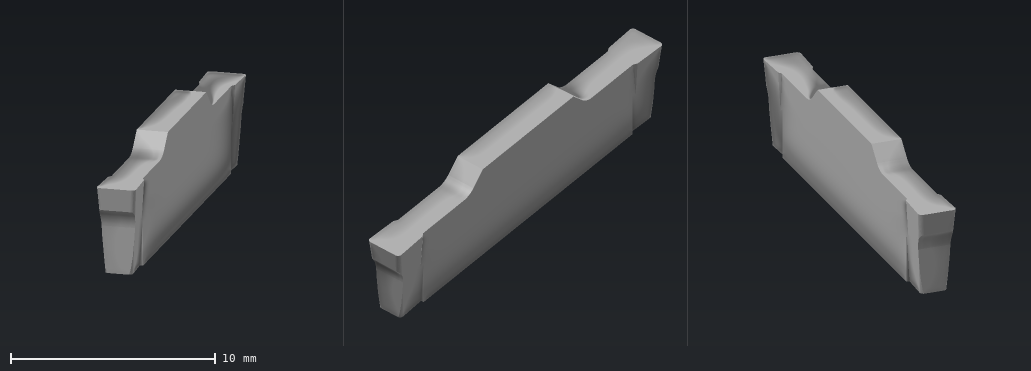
import cadquery as cq
import math

length = 20.6
head_width = 1.98
height = 5.5

body_width = 1.59
body_half_length = 8.12
deck_height = 4.47
platform_half_length = 3.52
platform_foot = platform_half_length + height - deck_height
platform_fillet = 1.03

side_relief = math.tan(math.radians(3.5))
tip_relief = math.tan(math.radians(6.5))
back_taper = 0.04
corner_radius = 0.2
head_inner_end = 7.93
sharp_half_width = head_width / 2 + back_taper * corner_radius

wall_y = 9.78
undercut_start = 2.4
undercut_radius = 1.28
undercut_angle = math.radians(45)

shoulder_y = 8.15
shoulder_slope = 1.6
shoulder_lean = 0.1


def make_body():
    """Blade of constant thickness with the platform on its upper edge."""
    profile = (
        cq.Workplane("YZ")
        .moveTo(-body_half_length, 0)
        .lineTo(body_half_length, 0)
        .lineTo(body_half_length, deck_height)
        .lineTo(platform_foot, deck_height)
        .lineTo(platform_half_length, height)
        .lineTo(-platform_half_length, height)
        .lineTo(-platform_foot, deck_height)
        .lineTo(-body_half_length, deck_height)
        .close()
    )
    body = profile.extrude(body_width / 2, both=True)
    edge_reach = 0.02
    foot_selector = cq.selectors.BoxSelector(
        (-body_width, -platform_foot - edge_reach, deck_height - edge_reach),
        (body_width, platform_foot + edge_reach, deck_height + edge_reach),
    )
    return body.edges(foot_selector).edges("|X").fillet(platform_fillet)


def head_section(z):
    """Plan outline of the head at height z, with rounded tip corners."""
    depth = deck_height - z
    tip_y = length / 2 - tip_relief * depth
    half_at_end = sharp_half_width - side_relief * depth
    half_tip = half_at_end - back_taper * (length / 2 - tip_y)
    half_inner = half_at_end - back_taper * (length / 2 - head_inner_end)
    plan = cq.Sketch().polygon([
        (-half_inner, head_inner_end),
        (half_inner, head_inner_end),
        (half_tip, tip_y),
        (-half_tip, tip_y),
        (-half_inner, head_inner_end),
    ])
    return plan.vertices(">Y").fillet(corner_radius).moved(cq.Location(cq.Vector(0, 0, z)))


def make_end_profile():
    """Side outline that leaves the vertical wall and the curved undercut."""
    def arc_point(angle):
        return (
            wall_y + undercut_radius * (1 - math.cos(angle)),
            undercut_start + undercut_radius * math.sin(angle),
        )

    arc_end = arc_point(undercut_angle)
    return (
        cq.Workplane("YZ")
        .moveTo(head_inner_end, 0)
        .lineTo(wall_y, 0)
        .lineTo(wall_y, undercut_start)
        .threePointArc(arc_point(undercut_angle / 2), arc_end)
        .lineTo(length / 2, arc_end[1])
        .lineTo(length / 2, deck_height)
        .lineTo(head_inner_end, deck_height)
        .close()
        .extrude(head_width, both=True)
    )


def make_shoulder_cutter():
    """Leaning wedge beside the blade on the +X side."""
    def section(z):
        inner_x = body_width / 2
        start_y = shoulder_y + shoulder_lean * (deck_height - z)
        end_y = start_y + shoulder_slope * (head_width - inner_x)
        outline = [
            (inner_x, head_inner_end),
            (head_width, head_inner_end),
            (head_width, end_y),
            (inner_x, start_y),
            (inner_x, head_inner_end),
        ]
        return cq.Sketch().polygon(outline).moved(cq.Location(cq.Vector(0, 0, z)))

    return cq.Workplane().placeSketch(section(0), section(deck_height)).loft(ruled=True)


def make_head():
    """Cutting head at the +Y end."""
    head = cq.Workplane().placeSketch(head_section(0), head_section(deck_height)).loft(ruled=True)
    head = head.intersect(make_end_profile())
    shoulder = make_shoulder_cutter()
    return head.cut(shoulder).cut(shoulder.mirror("YZ"))


head = make_head()
result = make_body().union(head).union(head.mirror("XZ"))